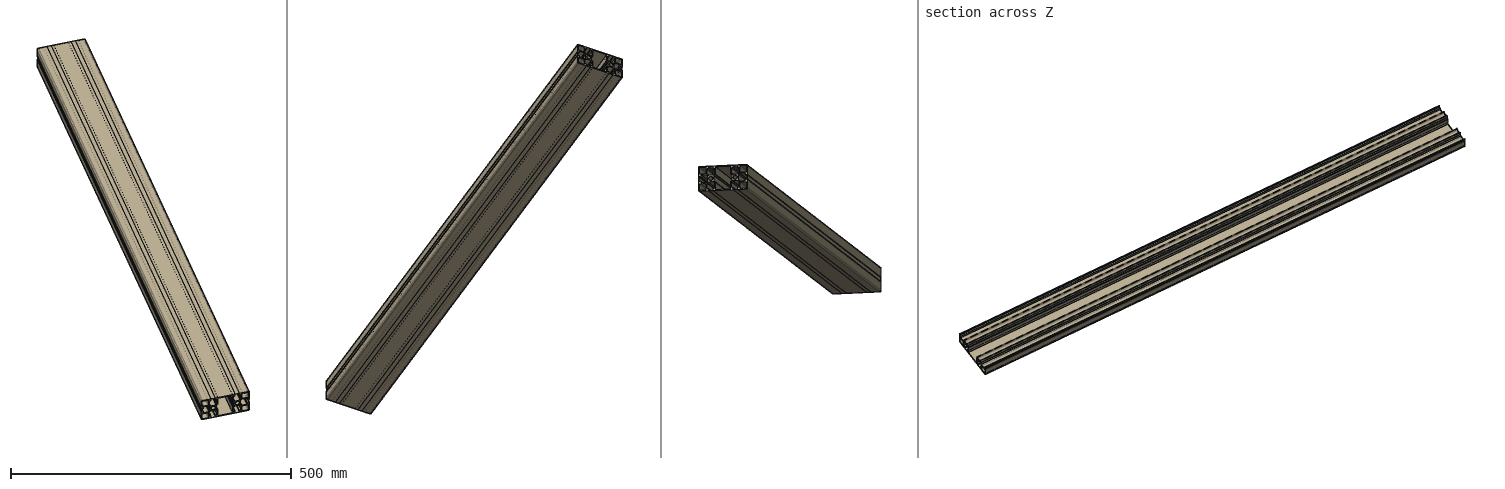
import cadquery as cq

LENGTH = 1000.0
WIDTH = 90.0
HEIGHT = 45.0
CORNER_RADIUS = 2.5

WALL = 2.0
WEB = 2.0
SKIN = 0.5

MODULE_REACH = HEIGHT / 2
MODULE_OFFSET = WIDTH / 2 - MODULE_REACH
BORE_DIAMETER = 7.5
CORE_HALF = 6.0
POCKET_RADIUS = 0.8

MOUTH_HALF = 4.0
SLOT_HALF = 7.0
FLOOR_HALF = 5.0
LIP_DEPTH = 4.0
LIP_SLOPE = 1.0
FLANK_REACH = CORE_HALF + SLOT_HALF - FLOOR_HALF
WEB_FACE = SLOT_HALF + WEB

GROOVE_DEPTH = 0.5


def prism(points):
    """Extrude a closed (y, z) outline over the whole length."""
    outline = cq.Workplane("YZ").workplane(offset=-LENGTH / 2).polyline(points).close()
    return outline.extrude(LENGTH)


def box(y_min, y_max, z_min, z_max):
    """Full-length bar with a rectangular section."""
    return prism([(y_min, z_min), (y_max, z_min), (y_max, z_max), (y_min, z_max)])


def mirrored(half):
    """Complete an outline whose given half lies at positive z."""
    return half + [(y, -z) for y, z in reversed(half)]


def slot(skin_depth):
    """T-slot that points toward +Y and ends skin_depth below the outer face."""
    lip_corner = MODULE_REACH - LIP_DEPTH
    return prism(mirrored([
        (CORE_HALF, FLOOR_HALF),
        (FLANK_REACH, SLOT_HALF),
        (lip_corner - LIP_SLOPE, SLOT_HALF),
        (lip_corner, MOUTH_HALF),
        (MODULE_REACH - skin_depth, MOUTH_HALF),
    ]))


def module_cavities():
    """Hollows of the module on the +Y side, without the central chamber."""
    top_slot = slot(SKIN).rotate((0, 0, 0), (1, 0, 0), 90)
    side_slot = slot(SKIN + GROOVE_DEPTH)
    side_groove = box(MODULE_REACH - GROOVE_DEPTH, MODULE_REACH, -MOUTH_HALF, MOUTH_HALF)
    bore = cq.Workplane("YZ").circle(BORE_DIAMETER / 2).extrude(LENGTH / 2, both=True)
    pocket_end = MODULE_REACH - WALL
    top_pocket = box(WEB_FACE, pocket_end, WEB_FACE, pocket_end).edges("|X").fillet(POCKET_RADIUS)
    cavities = [
        top_slot,
        top_slot.mirror("XY"),
        side_slot,
        side_groove,
        bore,
        top_pocket,
        top_pocket.mirror("XY"),
    ]
    return [cavity.translate((0, MODULE_OFFSET, 0)) for cavity in cavities]


def central_chamber():
    """Large hollow between the modules, stepping out to the core faces at mid height."""
    half_width = MODULE_OFFSET - WEB_FACE
    half_height = HEIGHT / 2 - WALL
    chamber = box(-half_width, half_width, -half_height, half_height)
    recess = prism(mirrored([
        (0, SLOT_HALF),
        (MODULE_OFFSET - FLANK_REACH, SLOT_HALF),
        (MODULE_OFFSET - CORE_HALF, FLOOR_HALF),
    ]))
    return chamber.union(recess).union(recess.mirror("XZ"))


body = box(-WIDTH / 2, WIDTH / 2, -HEIGHT / 2, HEIGHT / 2).edges("|X").fillet(CORNER_RADIUS)
body = body.cut(central_chamber())
for cavity in module_cavities():
    body = body.cut(cavity).cut(cavity.mirror("XZ"))

result = body